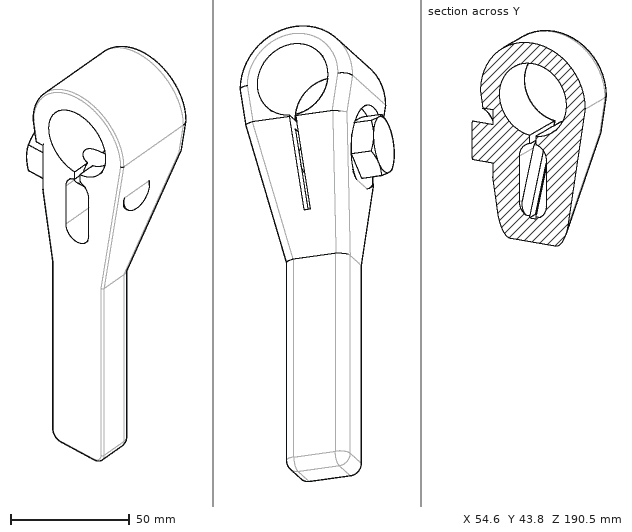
import cadquery as cq
import math

head_radius = 25.3
bore_radius = 16.0
head_depth = 43.8
total_height = 190.5
bottom_z = head_radius - total_height

margin = 2.0
overlap = 5.7

handle_half_width = 14.3
handle_depth = 18.5
handle_top_z = -70.9
back_slope_top_z = -16.5
handle_corner_radius = 5.0
back_edge_radius = 4.8
front_edge_radius = 1.0

pocket_width = 12.8
pocket_top_z = -19.6
pocket_bottom_z = -52.8
pocket_back_wall = 5.0
slit_width = 2.9

bolt_y = 13.0
bolt_z = -22.7
bolt_radius = 8.2
bolt_end_x = 22.1
hex_across_flats = 24.0
hex_height = 10.1
hex_chamfer_angle = 30.0
seat_radius = 17.5
seat_x = -19.2


def box_between(x_range, y_range, z_range):
    """Box spanning the given (low, high) ranges."""
    sizes = [high - low for low, high in (x_range, y_range, z_range)]
    corner = (x_range[0], y_range[0], z_range[0])
    return cq.Workplane("XY").box(*sizes, centered=False).translate(corner)


def bolt_cylinder(radius, start_x, end_x):
    """Cylinder on the bolt axis between two X positions."""
    axis_plane = cq.Workplane("YZ", origin=(start_x, bolt_y, bolt_z))
    return axis_plane.circle(radius).extrude(end_x - start_x)


def rounded_head():
    """Upper half of the head, a cylinder rounded at both ends."""
    cylinder = cq.Workplane("XZ").circle(head_radius).extrude(-head_depth)
    cylinder = cylinder.faces(">Y").edges().fillet(back_edge_radius)
    cylinder = cylinder.faces("<Y").edges().fillet(front_edge_radius)
    upper_half = box_between(
        (-head_radius - margin, head_radius + margin),
        (-margin, head_depth + margin),
        (0, head_radius + margin),
    )
    return cylinder.intersect(upper_half)


def taper():
    """Wedge below the bore axis, continued along its slopes a little way into the grip."""
    end_z = handle_top_z - overlap
    taper_length = -handle_top_z
    slope_length = back_slope_top_z - handle_top_z
    end_half_width = handle_half_width - (head_radius - handle_half_width) * overlap / taper_length
    end_depth = handle_depth - (head_depth - handle_depth) * overlap / slope_length
    outline = (
        cq.Workplane("XZ")
        .polyline([
            (-head_radius, 0),
            (head_radius, 0),
            (end_half_width, end_z),
            (-end_half_width, end_z),
        ])
        .close()
        .extrude(-head_depth)
    )
    side_profile = (
        cq.Workplane("YZ")
        .polyline([
            (0, 0),
            (head_depth, 0),
            (head_depth, back_slope_top_z),
            (end_depth, end_z),
            (0, end_z),
        ])
        .close()
        .extrude(head_radius + margin, both=True)
    )
    wedge = outline.intersect(side_profile)

    long_back_edges = wedge.edges("not (<Y or |X or |Y or >Z or <Z)")
    wedge = long_back_edges.fillet(back_edge_radius)
    return wedge.faces("<Y").edges("not |X").fillet(front_edge_radius)


def grip():
    """Straight bar with rounded lower corners, continued upwards into the taper."""
    bar = box_between(
        (-handle_half_width, handle_half_width),
        (0, handle_depth),
        (bottom_z, handle_top_z + overlap),
    )
    bar = bar.edges("|Y and <Z").fillet(handle_corner_radius)
    bar = bar.faces(">Y").edges("not >Z").fillet(back_edge_radius)
    return bar.faces("<Y").edges("not >Z").fillet(front_edge_radius)


def pocket_outline():
    """Round-ended pocket shape carried through the full depth."""
    height = pocket_top_z - pocket_bottom_z
    mid_z = (pocket_top_z + pocket_bottom_z) / 2
    profile = cq.Workplane("XZ", origin=(0, 0, mid_z)).slot2D(height, pocket_width, 90)
    return profile.extrude(-head_depth)


def relief_pocket():
    """Pocket whose floor runs parallel to the sloping back."""
    rise = back_slope_top_z - handle_top_z
    run = head_depth - handle_depth
    wall_along_y = pocket_back_wall * math.hypot(rise, run) / rise
    floor_limit = (
        cq.Workplane("YZ")
        .polyline([
            (0, back_slope_top_z),
            (head_depth - wall_along_y, back_slope_top_z),
            (handle_depth - wall_along_y, handle_top_z),
            (0, handle_top_z),
        ])
        .close()
        .extrude(pocket_width, both=True)
    )
    return pocket_outline().intersect(floor_limit)


def clamping_slit():
    """Slit from the bore through the pocket floor, rounded below to the pocket outline."""
    slit_x = (-slit_width / 2, slit_width / 2)
    slit_y = (0, head_depth)
    pocket_mid_z = (pocket_top_z + pocket_bottom_z) / 2
    upper_slit = box_between(slit_x, slit_y, (pocket_mid_z, 0))
    full_slit = box_between(slit_x, slit_y, (pocket_bottom_z, 0))
    return upper_slit.union(full_slit.intersect(pocket_outline()))


def clamping_bolt():
    """Plain shank with a hexagonal head whose outer corners are turned down."""
    head_plane = cq.Workplane("YZ", origin=(seat_x, bolt_y, bolt_z)).transformed(rotate=(0, 0, 90))
    across_corners = hex_across_flats / math.cos(math.pi / 6)
    head = head_plane.polygon(6, across_corners).extrude(-hex_height)
    flat_radius = hex_across_flats / 2
    cone_end_radius = flat_radius + hex_height / math.tan(math.radians(hex_chamfer_angle))
    turned_cone = (
        cq.Workplane("XY", origin=(seat_x - hex_height, bolt_y, bolt_z))
        .polyline([(0, 0), (0, flat_radius), (hex_height, cone_end_radius), (hex_height, 0)])
        .close()
        .revolve(360, (0, 0, 0), (1, 0, 0))
    )
    return head.intersect(turned_cone).union(bolt_cylinder(bolt_radius, seat_x, bolt_end_x))


bore = cq.Workplane("XZ").circle(bore_radius).extrude(-head_depth)
bolt_seat = bolt_cylinder(seat_radius, seat_x - hex_height, seat_x)

body = rounded_head().union(taper()).union(grip())
for cutter in (bore, clamping_slit(), relief_pocket(), bolt_seat):
    body = body.cut(cutter)
result = body.union(clamping_bolt())